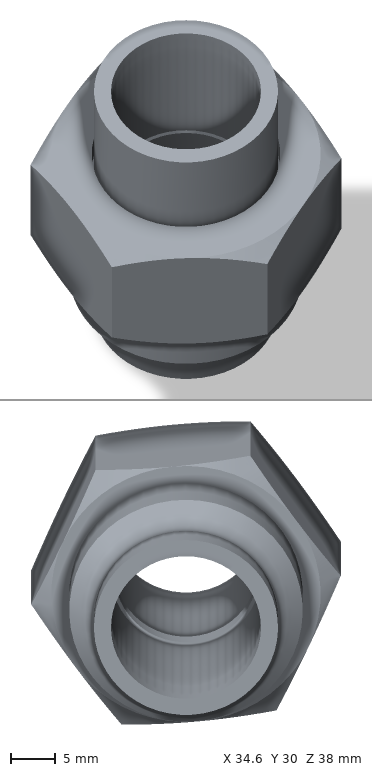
import cadquery as cq
import math


TOTAL_HEIGHT = 38.0
PIPE_DIAMETER = 20.5
PIPE_WALL = 1.9
PIPE_BORE = PIPE_DIAMETER - 2 * PIPE_WALL

BODY_DIAMETER = 26.0
SPIGOT_HEIGHT = 3.3
CONE_TOP = 6.0

NUT_BOTTOM = 12.0
NUT_HEIGHT = 15.0
NUT_TOP = NUT_BOTTOM + NUT_HEIGHT
NUT_ACROSS_FLATS = 30.0
NUT_ACROSS_CORNERS = NUT_ACROSS_FLATS / math.cos(math.radians(30))
NUT_CHAMFER_ANGLE = 30.0
NUT_LIP_THICKNESS = 3.0
LIP_CLEARANCE = 0.25

FLANGE_THICKNESS = 3.0
GASKET_THICKNESS = 2.0
GASKET_BORE = 15.9
FLANGE_TOP = NUT_TOP - NUT_LIP_THICKNESS
FLANGE_BOTTOM = FLANGE_TOP - FLANGE_THICKNESS
GASKET_BOTTOM = FLANGE_BOTTOM - GASKET_THICKNESS


def cylinder(diameter, bottom, top):
    """Solid cylinder on the Z axis between two heights."""
    return cq.Workplane("XY").workplane(offset=bottom).circle(diameter / 2).extrude(top - bottom)


def tube(outer_diameter, bore, bottom, top):
    """Cylinder with a through bore."""
    return cylinder(outer_diameter, bottom, top).cut(cylinder(bore, bottom, top))


def revolve_about_z(profile_points):
    """Revolve a closed (radius, height) outline about the Z axis."""
    return cq.Workplane("XZ").polyline(profile_points).close().revolve(360, (0, 0), (0, 1))


def make_body():
    """Lower pipe end widening through a cone to the part inside the nut."""
    bore_radius = PIPE_BORE / 2
    pipe_radius = PIPE_DIAMETER / 2
    body_radius = BODY_DIAMETER / 2
    return revolve_about_z([
        (bore_radius, 0),
        (pipe_radius, 0),
        (pipe_radius, SPIGOT_HEIGHT),
        (body_radius, CONE_TOP),
        (body_radius, GASKET_BOTTOM),
        (bore_radius, GASKET_BOTTOM),
    ])


def make_gasket():
    """Flat ring between the body and the tail flange."""
    return tube(BODY_DIAMETER, GASKET_BORE, GASKET_BOTTOM, FLANGE_BOTTOM)


def make_tail():
    """Upper pipe end with a flange held under the nut lip."""
    pipe = tube(PIPE_DIAMETER, PIPE_BORE, FLANGE_BOTTOM, TOTAL_HEIGHT)
    flange = tube(BODY_DIAMETER, PIPE_BORE, FLANGE_BOTTOM, FLANGE_TOP)
    return pipe.union(flange)


def make_nut():
    """Hexagon nut with corners on the X axis, chamfered at both ends."""
    hexagon = (
        cq.Workplane("XY")
        .workplane(offset=NUT_BOTTOM)
        .polygon(6, NUT_ACROSS_CORNERS)
        .extrude(NUT_HEIGHT)
    )
    face_radius = NUT_ACROSS_FLATS / 2
    corner_radius = NUT_ACROSS_CORNERS / 2
    corner_drop = (corner_radius - face_radius) * math.tan(math.radians(NUT_CHAMFER_ANGLE))
    envelope = revolve_about_z([
        (0, NUT_BOTTOM),
        (face_radius, NUT_BOTTOM),
        (corner_radius, NUT_BOTTOM + corner_drop),
        (corner_radius, NUT_TOP - corner_drop),
        (face_radius, NUT_TOP),
        (0, NUT_TOP),
    ])
    body_recess = cylinder(BODY_DIAMETER, NUT_BOTTOM, FLANGE_TOP)
    lip_hole = cylinder(PIPE_DIAMETER + 2 * LIP_CLEARANCE, FLANGE_TOP, NUT_TOP)
    return hexagon.intersect(envelope).cut(body_recess).cut(lip_hole)


body = make_body()
gasket = make_gasket()
tail = make_tail()
nut = make_nut()

result = cq.Compound.makeCompound([part.solids().val() for part in (body, gasket, tail, nut)])